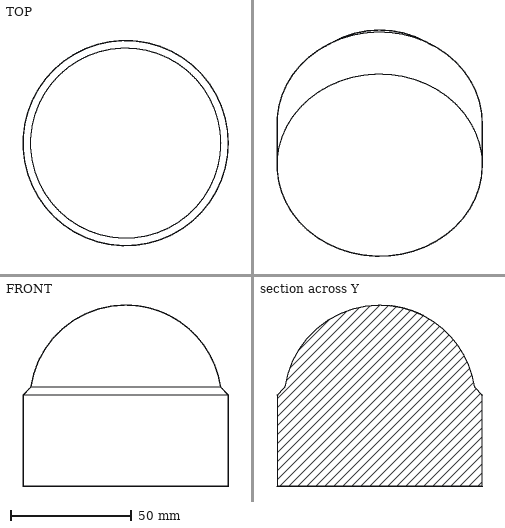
import cadquery as cq
import math

base_diameter = 85.5
total_height = 75.5

base_height = 38.0
shoulder_height = 3.3

dome_radius = 40.0

base_radius = base_diameter / 2
dome_center_z = total_height - dome_radius
shoulder_top_z = base_height + shoulder_height


def dome_radius_at(z):
    """Radius of the dome's circular section at height z."""
    return math.sqrt(dome_radius**2 - (z - dome_center_z) ** 2)


def dome_point_at_angle(angle):
    """Point (radius, height) on the dome at an elevation angle in radians."""
    return (
        dome_radius * math.cos(angle),
        dome_center_z + dome_radius * math.sin(angle),
    )


def make_cap():
    """Solid of revolution: cylindrical base, conical shoulder, spherical dome."""
    dome_start = (dome_radius_at(shoulder_top_z), shoulder_top_z)
    start_angle = math.asin((shoulder_top_z - dome_center_z) / dome_radius)
    middle_angle = (start_angle + math.pi / 2) / 2
    profile = (
        cq.Workplane("XZ")
        .moveTo(0, 0)
        .lineTo(base_radius, 0)
        .lineTo(base_radius, base_height)
        .lineTo(*dome_start)
        .threePointArc(dome_point_at_angle(middle_angle), (0, total_height))
        .close()
    )
    return profile.revolve(360, (0, 0, 0), (0, 1, 0))


result = make_cap()